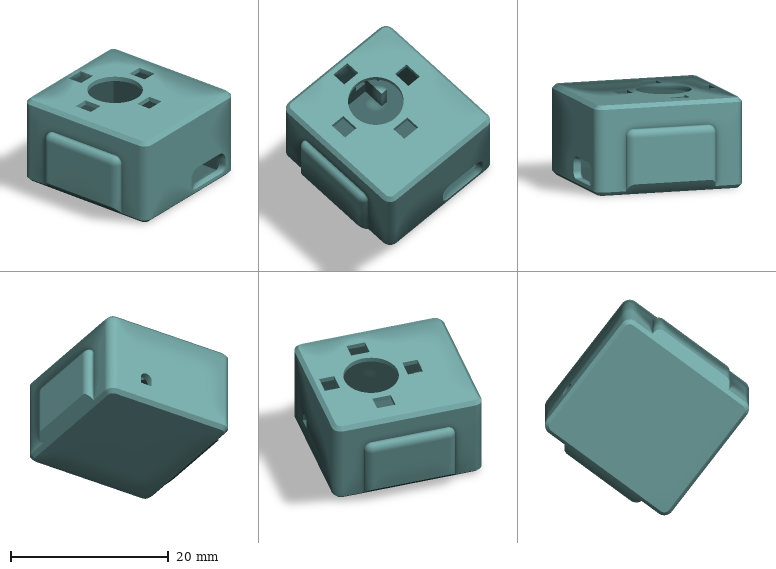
import cadquery as cq

length_x = 19.85
width_y = 18.25
height = 11.65
wall = 1.0
floor_thickness = 0.65
roof_thickness = 0.62
split_z = 2.6
corner_radius = 1.2
edge_chamfer = 0.5

tab_length = 12.0
tab_depth = 1.0
tab_top_z = 8.5
tab_fillet = tab_depth

opening_x = -2.25
opening_diameter = 7.05
window_offset = 5.53
window_radial = 2.0
window_tangential = 2.45

notch_y = 3.68
notch_width = 1.64
notch_top_z = 4.22
slot_width = 7.0
slot_bottom_z = 1.0
slot_top_z = 3.92
slot_upper_radius = 1.25
slot_lower_radius = 0.85

guide_length = 3.0
guide_top_z = 3.75

half_x = length_x / 2
half_y = width_y / 2
inner_half_x = half_x - wall
inner_half_y = half_y - wall
slot_flank_y = notch_y + slot_width / 2
notch_flank_y = notch_y + notch_width / 2
guide_thickness = inner_half_y - slot_flank_y


def box_between(x_range, y_range, z_range):
    """Axis-aligned box given by its limits along X, Y and Z."""
    sizes = [high - low for low, high in (x_range, y_range, z_range)]
    corner = (x_range[0], y_range[0], z_range[0])
    return cq.Workplane("XY").box(*sizes, centered=False).translate(corner)


def outer_block(bottom_z, top_z):
    """Rounded rectangular block with the outline of the closed case."""
    return (
        cq.Workplane("XY", origin=(0, 0, bottom_z))
        .rect(length_x, width_y)
        .extrude(top_z - bottom_z)
        .edges("|Z")
        .fillet(corner_radius)
    )


def cavity(bottom_z, top_z):
    """Hollow space inside the walls."""
    return box_between(
        (-inner_half_x, inner_half_x), (-inner_half_y, inner_half_y), (bottom_z, top_z)
    )


def connector_slot():
    """Rounded slot through the +X wall, shared by the base and the housing."""
    slot = box_between(
        (inner_half_x, half_x),
        (slot_flank_y - slot_width, slot_flank_y),
        (slot_bottom_z, slot_top_z),
    )
    slot = slot.faces(">Z").edges("|X").fillet(slot_upper_radius)
    return slot.faces("<Z").edges("|X").fillet(slot_lower_radius)


def cable_notch():
    """Arched notch through the -X wall, open at the bottom of the housing."""
    radius = notch_width / 2
    arch_z = notch_top_z - radius
    return (
        cq.Workplane("YZ", origin=(-half_x, 0, 0))
        .moveTo(notch_y - radius, split_z)
        .lineTo(notch_y - radius, arch_z)
        .threePointArc((notch_y, notch_top_z), (notch_y + radius, arch_z))
        .lineTo(notch_y + radius, split_z)
        .close()
        .extrude(wall)
    )


def roof_openings():
    """Round opening with a ring of four rectangular windows."""
    roof_bottom = cq.Workplane("XY", origin=(opening_x, 0, height - roof_thickness))
    cutter = roof_bottom.circle(opening_diameter / 2).extrude(roof_thickness)
    for angle in (0, 90, 180, 270):
        window = (
            roof_bottom.transformed(rotate=(0, 0, angle))
            .center(window_offset, 0)
            .rect(window_radial, window_tangential)
            .extrude(roof_thickness)
        )
        cutter = cutter.add(window)
    return cutter.combine()


def grip_tab():
    """Tab on the -Y side, rounded on its top and sides and bevelled below."""
    x_range = (-tab_length / 2, tab_length / 2)
    outer_y = -half_y - tab_depth
    tab = box_between(x_range, (outer_y, -inner_half_y), (0, tab_top_z))
    tab = tab.edges("(<Y and |Z) or (>Z and (not >Y))").fillet(tab_fillet)
    tab = tab.cut(box_between(x_range, (-half_y, -inner_half_y), (0, tab_top_z)))
    bevel = edge_chamfer + tab_depth
    underside = (
        cq.Workplane("YZ")
        .polyline([(outer_y, 0), (outer_y + bevel, 0), (outer_y, bevel)])
        .close()
        .extrude(tab_length / 2, both=True)
    )
    return tab.cut(underside)


def guide_block(start_x, start_y):
    """Upright block standing on the floor of the base."""
    return box_between(
        (start_x, start_x + guide_length),
        (start_y, start_y + guide_thickness),
        (floor_thickness, guide_top_z),
    )


def make_housing():
    """Upper shell with the roof openings."""
    housing = outer_block(split_z, height).faces(">Z").chamfer(edge_chamfer)
    housing = housing.cut(cavity(split_z, height - roof_thickness))
    return housing.cut(roof_openings()).cut(cable_notch()).cut(connector_slot())


def make_base():
    """Lower tray with the two guide blocks and the two grip tabs."""
    base = outer_block(0, split_z).faces("<Z").chamfer(edge_chamfer)
    base = base.cut(cavity(floor_thickness, split_z)).cut(connector_slot())
    slot_guide = guide_block(inner_half_x - guide_length, slot_flank_y)
    notch_guide = guide_block(-inner_half_x, notch_flank_y)
    tab = grip_tab()
    return base.union(slot_guide).union(notch_guide).union(tab).union(tab.mirror("XZ"))


housing = make_housing()
base = make_base()
result = cq.Compound.makeCompound([housing.val(), base.val()])